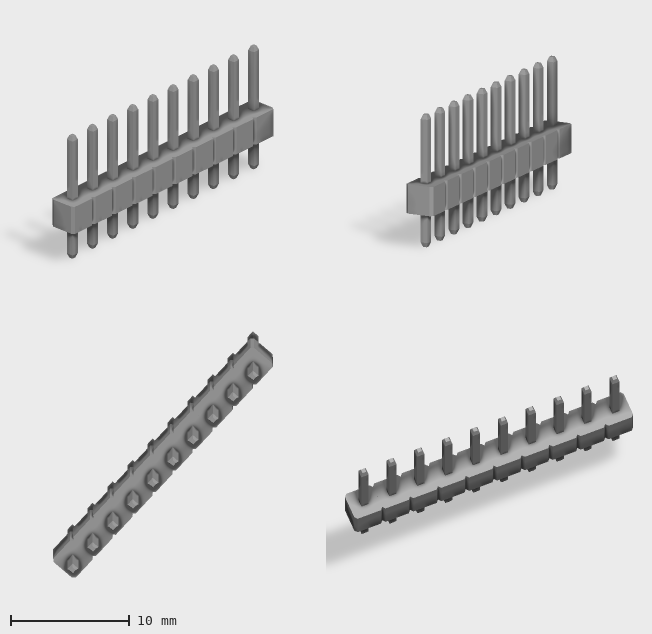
import cadquery as cq

contact_count = 10
row_length = 25.4
pitch = row_length / contact_count

block_size = pitch
corner_cut_x = 0.25
corner_cut_y = 0.208

pin_width = 0.65
pin_above_block = 5.95
pin_below_block = 3.02
tip_height = 0.4
tip_width = 0.35

pin_bottom = -pin_below_block
pin_top = block_size + pin_above_block
shank_bottom = pin_bottom + tip_height
shank_top = pin_top - tip_height


def make_block():
    """Insulator block standing on Z = 0."""
    half = block_size / 2
    inner_x = half - corner_cut_x
    inner_y = half - corner_cut_y
    outline = [
        (half, -inner_y),
        (half, inner_y),
        (inner_x, half),
        (-inner_x, half),
        (-half, inner_y),
        (-half, -inner_y),
        (-inner_x, -half),
        (inner_x, -half),
    ]
    return cq.Workplane("XY").polyline(outline).close().extrude(block_size)


def make_tip(base_z, end_z):
    """Square taper from the full pin width at base_z to the tip width at end_z."""
    return (
        cq.Workplane("XY", origin=(0, 0, base_z))
        .rect(pin_width, pin_width)
        .workplane(offset=end_z - base_z)
        .rect(tip_width, tip_width)
        .loft(ruled=True)
    )


def make_pin():
    """Square shank with a tapered tip at each end."""
    shank = (
        cq.Workplane("XY", origin=(0, 0, shank_bottom))
        .rect(pin_width, pin_width)
        .extrude(shank_top - shank_bottom)
    )
    upper_tip = make_tip(shank_top, pin_top)
    lower_tip = make_tip(shank_bottom, pin_bottom)
    return shank.union(upper_tip).union(lower_tip)


def make_contact(y):
    """One contact, block and pin in a single solid, centred at the given Y."""
    return make_block().union(make_pin()).translate((0, y, 0))


first_y = (pitch - row_length) / 2
contacts = []
for index in range(contact_count):
    contact = make_contact(first_y + index * pitch)
    contacts.append(contact.val())

result = cq.Compound.makeCompound(contacts)